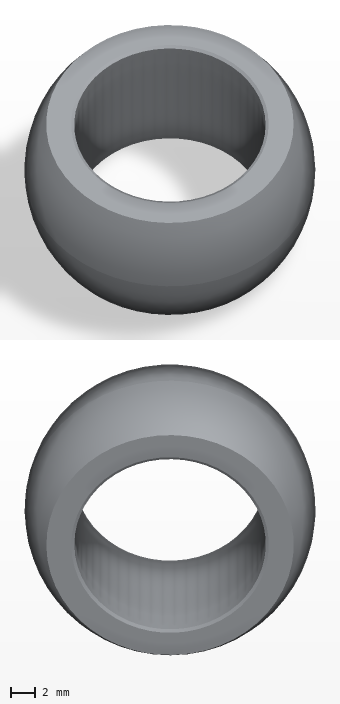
import cadquery as cq
import math

ball_diameter = 24.13
ball_width = 12.7
bore_diameter = 15.875
bore_chamfer_width = 0.254
bore_chamfer_angle = 30

ball_radius = ball_diameter / 2
half_width = ball_width / 2
bore_radius = bore_diameter / 2
end_face_radius = math.sqrt(ball_radius**2 - half_width**2)
chamfer_radius = bore_radius + bore_chamfer_width
chamfer_depth = bore_chamfer_width * math.tan(math.radians(bore_chamfer_angle))
chamfer_start = half_width - chamfer_depth


def ring_half_section():
    """Half section in the XZ plane, running from the lower bore chamfer outward and up."""
    return (
        cq.Workplane("XZ")
        .moveTo(bore_radius, -chamfer_start)
        .lineTo(chamfer_radius, -half_width)
        .lineTo(end_face_radius, -half_width)
        .radiusArc((ball_radius, 0), -ball_radius)
        .radiusArc((end_face_radius, half_width), -ball_radius)
        .lineTo(chamfer_radius, half_width)
        .lineTo(bore_radius, chamfer_start)
        .close()
    )


result = ring_half_section().revolve(360, (0, 0, 0), (0, 1, 0), clean=False)